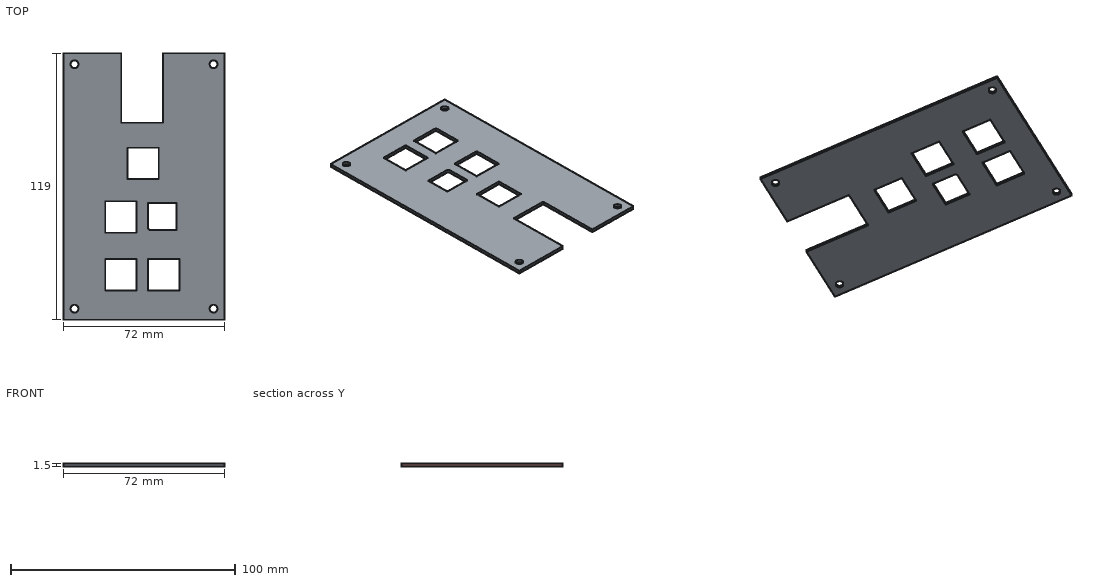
import cadquery as cq

PLATE_WIDTH = 72.0
PLATE_LENGTH = 119.0
PLATE_THICKNESS = 1.5

MOUNT_DIAMETER = 3.4
MOUNT_INSET = 5.0

NOTCH_WIDTH = 18.5
NOTCH_DEPTH = 31.0
NOTCH_CENTER_X = -0.8

KEY_SIZE = 13.9
KEY_PITCH_X = 19.1
LEFT_COLUMN_X = -10.3
RIGHT_COLUMN_X = LEFT_COLUMN_X + KEY_PITCH_X
LOWER_ROW_Y = -39.35
MIDDLE_ROW_Y = -13.65
UPPER_KEY_X = -0.4
UPPER_KEY_Y = 10.3
KEY_CENTERS = [
    (LEFT_COLUMN_X, LOWER_ROW_Y),
    (RIGHT_COLUMN_X, LOWER_ROW_Y),
    (LEFT_COLUMN_X, MIDDLE_ROW_Y),
    (UPPER_KEY_X, UPPER_KEY_Y),
]

SMALL_WIDTH = 12.6
SMALL_HEIGHT = 12.0
SMALL_LEFT_X = RIGHT_COLUMN_X - KEY_SIZE / 2
SMALL_CENTER_Y = -13.4
SMALL_CORNER_RADIUS = 1.0


def make_plate():
    return cq.Workplane("XY").box(
        PLATE_WIDTH, PLATE_LENGTH, PLATE_THICKNESS, centered=(True, True, False)
    )


def make_mount_holes():
    return (
        cq.Workplane("XY")
        .rect(PLATE_WIDTH - 2 * MOUNT_INSET, PLATE_LENGTH - 2 * MOUNT_INSET, forConstruction=True)
        .vertices()
        .circle(MOUNT_DIAMETER / 2)
        .extrude(PLATE_THICKNESS)
    )


def make_notch():
    center_y = PLATE_LENGTH / 2 - NOTCH_DEPTH / 2
    return (
        cq.Workplane("XY")
        .center(NOTCH_CENTER_X, center_y)
        .rect(NOTCH_WIDTH, NOTCH_DEPTH)
        .extrude(PLATE_THICKNESS)
    )


def make_key_openings():
    return (
        cq.Workplane("XY")
        .pushPoints(KEY_CENTERS)
        .rect(KEY_SIZE, KEY_SIZE)
        .extrude(PLATE_THICKNESS)
    )


def make_small_opening():
    return (
        cq.Workplane("XY")
        .center(SMALL_LEFT_X + SMALL_WIDTH / 2, SMALL_CENTER_Y)
        .rect(SMALL_WIDTH, SMALL_HEIGHT)
        .extrude(PLATE_THICKNESS)
        .edges("|Z and <X and <Y")
        .fillet(SMALL_CORNER_RADIUS)
    )


result = (
    make_plate()
    .cut(make_mount_holes())
    .cut(make_notch())
    .cut(make_key_openings())
    .cut(make_small_opening())
)